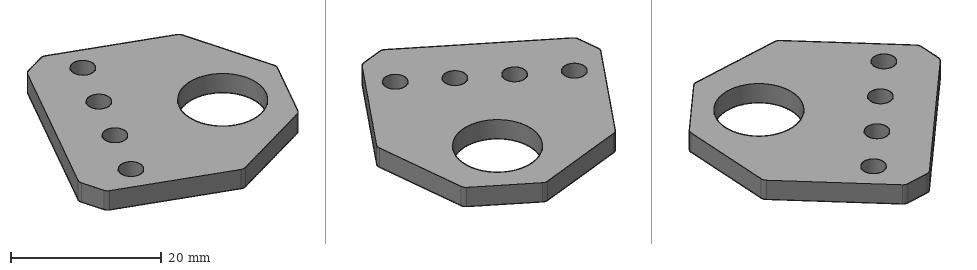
import cadquery as cq

width = 32.0
length = 32.49
thickness = 3.17
rear_chamfer = 10.5
front_chamfer = 3.0
corner_radius = 1.0

bore_diameter = 12.0
bore_to_rear_edge = 9.0

hole_diameter = 3.4
hole_count = 4
hole_pitch = 8.0
bore_to_hole_row = 16.0

half_width = width / 2
rear_y = length / 2
front_y = -length / 2
bore_y = rear_y - bore_to_rear_edge
hole_row_y = bore_y - bore_to_hole_row


def make_plate():
    """Rectangular plate with clipped corners, every upright edge rounded."""
    right_side = [
        (half_width - front_chamfer, front_y),
        (half_width, front_y + front_chamfer),
        (half_width, rear_y - rear_chamfer),
        (half_width - rear_chamfer, rear_y),
    ]
    left_side = [(-x, y) for x, y in reversed(right_side)]
    plate = cq.Workplane("XY").polyline(right_side + left_side).close().extrude(thickness)
    return plate.edges("|Z").fillet(corner_radius)


def cut_bore(body):
    """Large through bore."""
    return body.cut(cq.Workplane("XY").center(0, bore_y).circle(bore_diameter / 2).extrude(thickness))


def cut_hole_row(body):
    """Evenly spaced small through holes, symmetric about the plate centreline."""
    row = cq.Workplane("XY").center(0, hole_row_y).rarray(hole_pitch, 1, hole_count, 1)
    return body.cut(row.circle(hole_diameter / 2).extrude(thickness))


result = cut_hole_row(cut_bore(make_plate()))